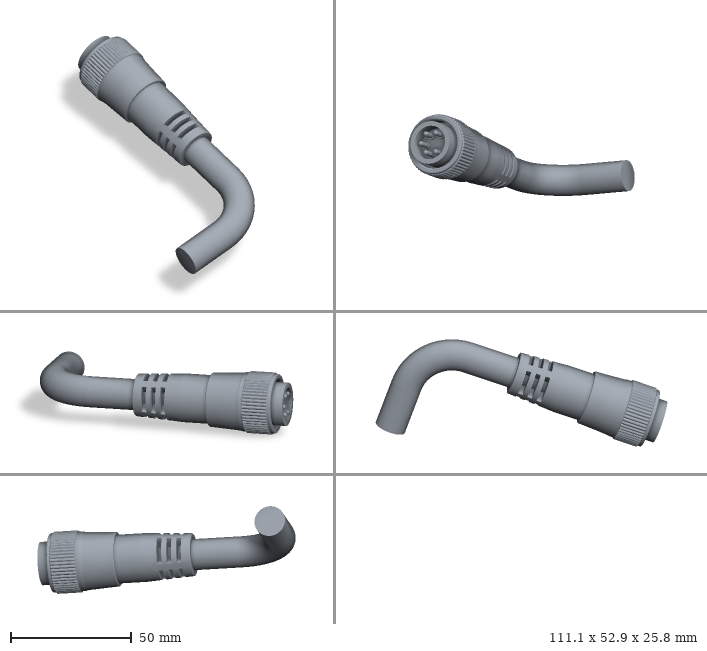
import cadquery as cq
import math


CUT_MARGIN = 1.1

CABLE_RADIUS = 6.5
OVERALL_LENGTH = 111.1
CABLE_DROP = 40.0
BEND_RADIUS = 19.9

BODY_FRONT = 0.3
PLUG_RADIUS = 9.0
GRIP_RADIUS = 10.1
GRIP_START = 11.1
RELIEF_START = 44.2
RELIEF_END = 64.7
RELIEF_END_RADIUS = 8.9
RELIEF_CHAMFER = 0.2

SLOT_COUNT = 3
SLOT_START = 50.7
SLOT_WIDTH = 2.0
SLOT_PITCH = 4.1
SLOT_FLOOR_RADIUS = 5.2
RIB_WIDTH = 3.0

SOCKET_RADIUS = 7.0
SOCKET_FLOOR = 7.2
KEY_WIDTH = 4.5
KEY_INNER_EDGE = 4.8

PIN_COUNT = 5
PIN_PLACES = 6
PIN_CIRCLE_RADIUS = 4.6
PIN_RADIUS = 1.0
PIN_COLLAR_RADIUS = 1.5
PIN_COLLAR_LENGTH = 1.1

NUT_FRONT = 4.7
NUT_END = 32.9
NUT_RADIUS = 12.3
NUT_FRONT_ROUND = 0.5
NUT_MOUTH_CHAMFER = 0.6
BAND_END = 18.5
SLEEVE_START = 19.5
SLEEVE_START_RADIUS = 12.1
SLEEVE_END_RADIUS = 11.3
SLEEVE_CHAMFER = 0.3

KNURL_START = 6.1
KNURL_END = 16.9
KNURL_RADIUS = 12.9
KNURL_END_BEVEL = 0.3
KNURL_GROOVE_RADIUS = 12.5
KNURL_COUNT = 55
KNURL_CREST_SHARE = 0.25


def turned(profile):
    """Solid of revolution about the X axis from a closed profile in the XY plane."""
    return profile.close().revolve(360, (0, 0, 0), (1, 0, 0))


def rod(start, end, radius):
    """Cylinder on the X axis."""
    return cq.Workplane("YZ", origin=(start, 0, 0)).circle(radius).extrude(end - start)


def make_cable():
    """Round cable that leaves the strain relief and turns toward -Y."""
    bend_start = OVERALL_LENGTH - CABLE_RADIUS - BEND_RADIUS
    half_bend = math.sqrt(0.5) * BEND_RADIUS
    path = (
        cq.Workplane("XY")
        .moveTo(RELIEF_END, 0)
        .lineTo(bend_start, 0)
        .threePointArc(
            (bend_start + half_bend, half_bend - BEND_RADIUS),
            (bend_start + BEND_RADIUS, -BEND_RADIUS),
        )
        .lineTo(bend_start + BEND_RADIUS, -CABLE_DROP)
    )
    return cq.Workplane("YZ", origin=(RELIEF_END, 0, 0)).circle(CABLE_RADIUS).sweep(path)


def make_slot_ring(start):
    """Ring-shaped cut whose four diagonal ribs are left standing."""
    ring = rod(start, start + SLOT_WIDTH, GRIP_RADIUS + CUT_MARGIN).cut(
        rod(start, start + SLOT_WIDTH, SLOT_FLOOR_RADIUS)
    )
    rib = cq.Workplane("XY").box(SLOT_WIDTH, 2 * (GRIP_RADIUS + 2 * CUT_MARGIN), RIB_WIDTH)
    for angle in (45, -45):
        placed = rib.rotate((0, 0, 0), (1, 0, 0), angle)
        ring = ring.cut(placed.translate((start + SLOT_WIDTH / 2, 0, 0)))
    return ring


def make_key():
    """Half-round key on the socket floor, rooted in the socket wall on the -Y side."""
    nose_radius = KEY_WIDTH / 2
    key = (
        cq.Workplane("XZ", origin=(0, -KEY_INNER_EDGE, 0))
        .moveTo(SOCKET_FLOOR, -nose_radius)
        .threePointArc((SOCKET_FLOOR - nose_radius, 0), (SOCKET_FLOOR, nose_radius))
        .close()
        .extrude(PLUG_RADIUS - KEY_INNER_EDGE)
    )
    return key.intersect(rod(BODY_FRONT, SOCKET_FLOOR, PLUG_RADIUS))


def make_body():
    """Plug, grip, strain relief and cable as one moulding."""
    body = turned(
        cq.Workplane("XY")
        .moveTo(BODY_FRONT, 0)
        .lineTo(BODY_FRONT, PLUG_RADIUS)
        .lineTo(GRIP_START, PLUG_RADIUS)
        .lineTo(GRIP_START, GRIP_RADIUS)
        .lineTo(RELIEF_START, GRIP_RADIUS)
        .lineTo(RELIEF_END - RELIEF_CHAMFER, RELIEF_END_RADIUS)
        .lineTo(RELIEF_END, RELIEF_END_RADIUS - RELIEF_CHAMFER)
        .lineTo(RELIEF_END, 0)
    )
    for index in range(SLOT_COUNT):
        body = body.cut(make_slot_ring(SLOT_START + index * SLOT_PITCH))
    body = body.cut(rod(BODY_FRONT, SOCKET_FLOOR, SOCKET_RADIUS))
    return body.union(make_key()).union(make_cable())


def make_pin(index):
    """Round-tipped pin with a collar that stands on the socket floor."""
    tip = math.sqrt(0.5) * PIN_RADIUS
    pin = turned(
        cq.Workplane("XY")
        .moveTo(0, 0)
        .threePointArc((PIN_RADIUS - tip, tip), (PIN_RADIUS, PIN_RADIUS))
        .lineTo(SOCKET_FLOOR - PIN_COLLAR_LENGTH, PIN_RADIUS)
        .lineTo(SOCKET_FLOOR - PIN_COLLAR_LENGTH, PIN_COLLAR_RADIUS)
        .lineTo(SOCKET_FLOOR, PIN_COLLAR_RADIUS)
        .lineTo(SOCKET_FLOOR, 0)
    )
    angle = 2 * math.pi * (index - (PIN_COUNT - 1) / 2) / PIN_PLACES
    return pin.translate((0, PIN_CIRCLE_RADIUS * math.cos(angle), PIN_CIRCLE_RADIUS * math.sin(angle)))


def make_knurl_grooves():
    """Ring of V-grooves along the nut, with a flat-crested tooth between each two."""
    pitch_angle = 2 * math.pi / KNURL_COUNT
    half_crest = KNURL_CREST_SHARE * pitch_angle / 2
    points = []
    for index in range(KNURL_COUNT):
        crest = (index + 0.5) * pitch_angle
        for radius, angle in (
            (KNURL_RADIUS, crest - half_crest),
            (KNURL_RADIUS, crest + half_crest),
            (KNURL_GROOVE_RADIUS, crest + pitch_angle / 2),
        ):
            points.append((radius * math.cos(angle), radius * math.sin(angle)))
    length = KNURL_END - KNURL_START
    toothed = cq.Workplane("YZ", origin=(KNURL_START, 0, 0)).polyline(points).close().extrude(length)
    return rod(KNURL_START, KNURL_END, KNURL_RADIUS + CUT_MARGIN).cut(toothed)


def make_nut():
    """Knurled coupling nut with a tapered sleeve behind the knurl."""
    front_round_end = NUT_FRONT + NUT_FRONT_ROUND
    arc_share = math.sqrt(0.5) * NUT_FRONT_ROUND
    nut = turned(
        cq.Workplane("XY")
        .moveTo(NUT_FRONT + NUT_MOUTH_CHAMFER, GRIP_RADIUS)
        .lineTo(NUT_FRONT, GRIP_RADIUS + NUT_MOUTH_CHAMFER)
        .lineTo(NUT_FRONT, NUT_RADIUS - NUT_FRONT_ROUND)
        .threePointArc(
            (front_round_end - arc_share, NUT_RADIUS - NUT_FRONT_ROUND + arc_share),
            (front_round_end, NUT_RADIUS),
        )
        .lineTo(KNURL_START, NUT_RADIUS)
        .lineTo(KNURL_START + KNURL_END_BEVEL, KNURL_RADIUS)
        .lineTo(KNURL_END - KNURL_END_BEVEL, KNURL_RADIUS)
        .lineTo(KNURL_END, NUT_RADIUS)
        .lineTo(BAND_END, NUT_RADIUS)
        .lineTo(SLEEVE_START, SLEEVE_START_RADIUS)
        .lineTo(NUT_END - SLEEVE_CHAMFER, SLEEVE_END_RADIUS)
        .lineTo(NUT_END, SLEEVE_END_RADIUS - SLEEVE_CHAMFER)
        .lineTo(NUT_END, GRIP_RADIUS)
    )
    return nut.cut(make_knurl_grooves())


body = make_body()
nut = make_nut()
pins = [make_pin(index) for index in range(PIN_COUNT)]

result = cq.Compound.makeCompound([body.val(), nut.val(), *[pin.val() for pin in pins]])